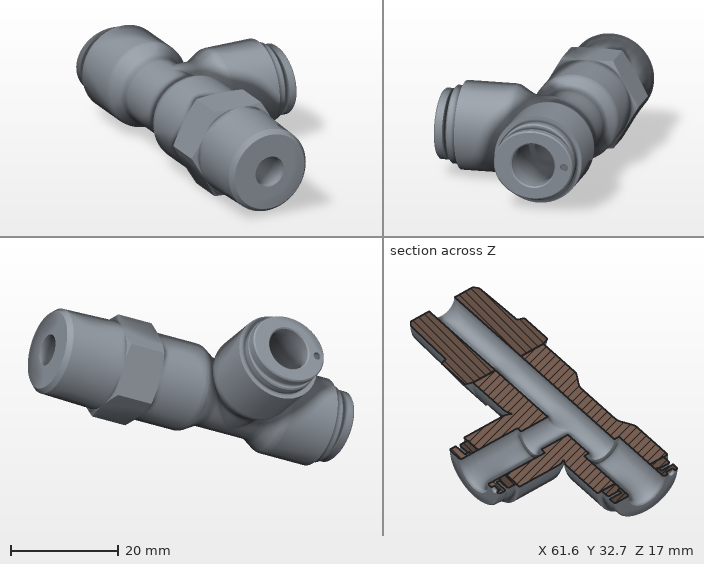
import cadquery as cq
import math


total_length = 61.6
arm_length = 22.85
hex_start = 18.85
hex_length = 7.95
waist_half_length = 5.65

flow_diameter = 6.0
tube_diameter = 8.2
tube_seat = 9.35

flange_width = 15.1
flange_height = 13.2
flange_thickness = 1.6
flange_chamfer = 0.25
neck_diameter = 9.6
sleeve_length = 2.65
mouth_chamfer = 0.25
dot_diameter = 1.5
dot_depth = 0.7
dot_offset = 6.0

collar_diameter = 14.7
collar_start = 2.2
collar_end = 4.1
collar_chamfer = 0.25

shoulder_diameter = 16.75
waist_diameter = 13.1
shoulder_slope = 30.0
shoulder_fillet = 2.15

hex_sides = 6
hex_flats = 17.0
hex_corners = hex_flats / math.cos(math.pi / hex_sides)
hex_face_diameter = 17.45
hex_chamfer_length = 0.45
thread_diameter = 17.0
thread_taper = 1 / 16
thread_tip_diameter = 14.8
thread_tip_length = 0.9

housing_end = arm_length - collar_end
shoulder_drop = (shoulder_diameter - waist_diameter) / 2
shoulder_start = waist_half_length + shoulder_drop / math.tan(math.radians(shoulder_slope))
hex_end = hex_start + hex_length
connector_end = total_length - arm_length


def rod(diameter, start, end):
    """Round bar on the X axis."""
    return cq.Workplane("YZ", origin=(start, 0, 0)).circle(diameter / 2).extrude(end - start)


def revolved(outline):
    """Turned solid from (x, radius) points around the X axis."""
    return cq.Workplane("XY").polyline(outline).close().revolve(360, (0, 0, 0), (1, 0, 0))


def to_branch(body):
    """Turn a body of the -X port onto the +Y port."""
    return body.rotate((0, 0, 0), (0, 0, 1), -90)


def make_release_sleeve():
    """Oval push flange with a short round neck, bored for the tube."""
    tip = -arm_length
    flange = (
        cq.Workplane("YZ", origin=(tip, 0, 0))
        .ellipse(flange_width / 2, flange_height / 2)
        .extrude(flange_thickness)
        .faces("<X")
        .chamfer(flange_chamfer)
    )
    neck = rod(neck_diameter, tip + flange_thickness, tip + sleeve_length)
    bore = rod(tube_diameter, tip, tip + sleeve_length)
    dot = rod(dot_diameter, tip, tip + dot_depth).translate((0, -dot_offset, 0))
    sleeve = flange.union(neck).cut(bore)
    sleeve = sleeve.faces("<X").edges("%CIRCLE").chamfer(mouth_chamfer)
    return sleeve.cut(dot)


def make_collar():
    """Ring between sleeve and housing, recessed to take the sleeve neck."""
    start = collar_start - arm_length
    end = collar_end - arm_length
    ring = rod(collar_diameter, start, end).faces("<X").chamfer(collar_chamfer)
    recess = rod(neck_diameter, start, sleeve_length - arm_length)
    return ring.cut(recess).cut(rod(tube_diameter, start, end))


def make_shouldered_arm(length):
    """Waisted arm from the tee centre toward -X that widens to a shoulder."""
    waist_radius = waist_diameter / 2
    shoulder_radius = shoulder_diameter / 2
    arm = revolved([
        (0, 0),
        (0, waist_radius),
        (-waist_half_length, waist_radius),
        (-shoulder_start, shoulder_radius),
        (-length, shoulder_radius),
        (-length, 0),
    ])
    return arm.edges("%CIRCLE and (not <X) and (not >X)").fillet(shoulder_fillet)


def make_housing():
    """Tee body with two tube sockets and a connecting flow bore."""
    port_arm = make_shouldered_arm(housing_end)
    connector_arm = make_shouldered_arm(hex_start).mirror("YZ")
    body = port_arm.union(connector_arm).union(to_branch(port_arm))
    socket = rod(tube_diameter, -housing_end, -tube_seat)
    flow = rod(flow_diameter, -housing_end, 0)
    through_flow = rod(flow_diameter, -housing_end, hex_start)
    return body.cut(through_flow).cut(to_branch(flow)).cut(socket).cut(to_branch(socket))


def make_connector():
    """Hexagon with chamfered corners, followed by a tapered pipe end."""
    hexagon = (
        cq.Workplane("YZ", origin=(hex_start, 0, 0))
        .polygon(hex_sides, hex_corners)
        .extrude(hex_length)
    )
    corner_turning = revolved([
        (hex_start, 0),
        (hex_start, hex_face_diameter / 2),
        (hex_start + hex_chamfer_length, hex_corners / 2),
        (hex_end - hex_chamfer_length, hex_corners / 2),
        (hex_end, hex_face_diameter / 2),
        (hex_end, 0),
    ])
    taper_end = connector_end - thread_tip_length
    taper_end_diameter = thread_diameter - thread_taper * (taper_end - hex_end)
    pipe_end = revolved([
        (hex_end, 0),
        (hex_end, thread_diameter / 2),
        (taper_end, taper_end_diameter / 2),
        (connector_end, thread_tip_diameter / 2),
        (connector_end, 0),
    ])
    bore = rod(flow_diameter, hex_start, connector_end)
    return hexagon.intersect(corner_turning).union(pipe_end).cut(bore)


housing = make_housing()
connector = make_connector()

port_bodies = []
for make_body in (make_release_sleeve, make_collar):
    body = make_body()
    port_bodies.append(body.val())
    port_bodies.append(to_branch(body).val())

result = cq.Compound.makeCompound([housing.val(), connector.val(), *port_bodies])